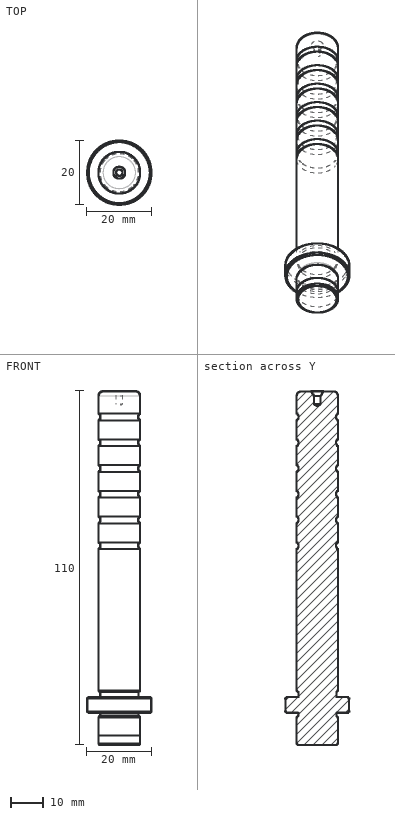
import cadquery as cq
import math

total_length = 110.0
shaft_radius = 13.0 / 2
shaft_tip_fillet = 1.5

flange_radius = 20.0 / 2
flange_bottom = 10.0
flange_thickness = 5.0
flange_top = flange_bottom + flange_thickness
flange_chamfer = 0.5

neck_depth = 0.5
neck_radius = shaft_radius - neck_depth
upper_neck_length = 2.0
lower_neck_length = 0.85
neck_root_fillet = 0.1

lead_in_length = 3.0
lead_in_relief = 0.01
lead_in_radius = shaft_radius - lead_in_relief
end_chamfer = 0.5

groove_count = 6
groove_pitch = 8.0
groove_half_width = 1.05
groove_depth = 0.6

countersink_radius = 3.7 / 2
countersink_angle = 60.0
drill_radius = 2.0 / 2
drill_depth = 4.0
drill_point_angle = 120.0


def cone_height(radius_change, full_angle):
    """Axial length over which a cone of the given full angle changes radius."""
    return radius_change / math.tan(math.radians(full_angle / 2))


def revolve_profile(profile):
    """Turn a closed radius-height profile around the Z axis."""
    return profile.close().revolve(360, (0, 0, 0), (0, 1, 0))


def make_body():
    """Spigot, flange and shaft, turned from one stepped profile."""
    upper_neck_end = flange_top + upper_neck_length
    lower_neck_end = flange_bottom - lower_neck_length
    profile = (
        cq.Workplane("XZ")
        .lineTo(lead_in_radius - end_chamfer, 0)
        .lineTo(lead_in_radius, end_chamfer)
        .lineTo(lead_in_radius, lead_in_length)
        .lineTo(shaft_radius, lead_in_length)
        .lineTo(shaft_radius, lower_neck_end - neck_depth)
        .lineTo(neck_radius, lower_neck_end)
        .lineTo(neck_radius, flange_bottom - neck_root_fillet)
        .radiusArc((neck_radius + neck_root_fillet, flange_bottom), neck_root_fillet)
        .lineTo(flange_radius - flange_chamfer, flange_bottom)
        .lineTo(flange_radius, flange_bottom + flange_chamfer)
        .lineTo(flange_radius, flange_top - flange_chamfer)
        .lineTo(flange_radius - flange_chamfer, flange_top)
        .lineTo(neck_radius, flange_top)
        .lineTo(neck_radius, upper_neck_end - neck_depth)
        .lineTo(shaft_radius, upper_neck_end)
        .lineTo(shaft_radius, total_length)
        .lineTo(0, total_length)
    )
    return revolve_profile(profile).faces(">Z").edges().fillet(shaft_tip_fillet)


def make_groove(height):
    """Ring with a rounded inner side, centred on the given height."""
    profile = (
        cq.Workplane("XZ")
        .moveTo(shaft_radius, height - groove_half_width)
        .threePointArc(
            (shaft_radius - groove_depth, height),
            (shaft_radius, height + groove_half_width),
        )
    )
    return revolve_profile(profile)


def make_centre_hole():
    """Countersunk blind hole with a conical end, opening at the tip."""
    countersink_end = total_length - cone_height(countersink_radius - drill_radius, countersink_angle)
    drill_end = total_length - drill_depth
    profile = (
        cq.Workplane("XZ")
        .moveTo(0, total_length)
        .lineTo(countersink_radius, total_length)
        .lineTo(drill_radius, countersink_end)
        .lineTo(drill_radius, drill_end)
        .lineTo(0, drill_end - cone_height(drill_radius, drill_point_angle))
    )
    return revolve_profile(profile)


result = make_body().cut(make_centre_hole())
for groove_number in range(1, groove_count + 1):
    result = result.cut(make_groove(total_length - groove_number * groove_pitch))